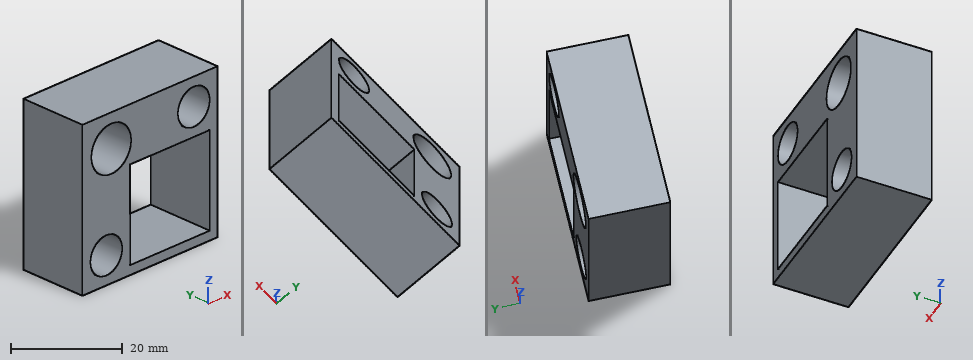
import cadquery as cq

side = 34.0
depth = 15.0

wall = 2.0
window_side = 20.0
small_diameter = 8.0
large_diameter = 10.0
large_inset = 7.25

half_side = side / 2
window_offset = half_side - wall - window_side / 2
small_offset = half_side - wall - small_diameter / 2
large_offset = half_side - large_inset


def through_hole(x, z, diameter):
    """Cylinder along Y that spans the block depth."""
    return (
        cq.Workplane("XZ")
        .center(x, z)
        .circle(diameter / 2)
        .extrude(depth / 2, both=True)
    )


block = cq.Workplane("XY").box(side, depth, side)

window = (
    cq.Workplane("XY")
    .box(window_side, depth, window_side)
    .translate((window_offset, 0, -window_offset))
)
result = block.cut(window)

holes = [
    (-large_offset, large_offset, large_diameter),
    (small_offset, small_offset, small_diameter),
    (-small_offset, -small_offset, small_diameter),
]
for x, z, diameter in holes:
    result = result.cut(through_hole(x, z, diameter))